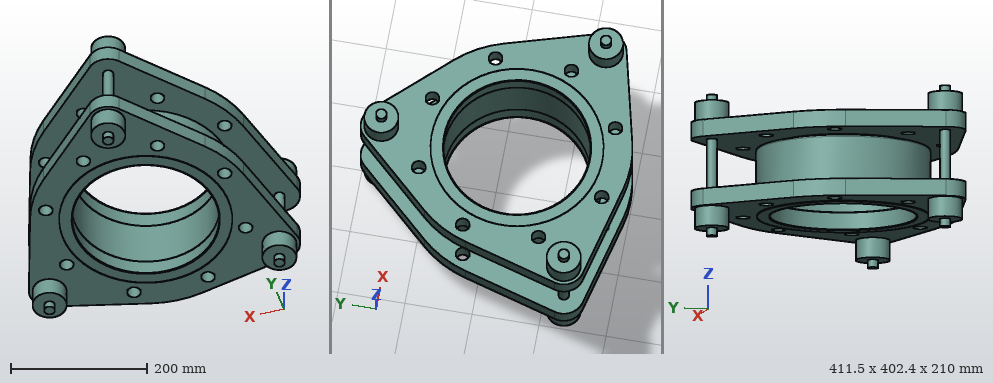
import cadquery as cq
import math

overall_width = 411.5
overall_height = 210.0

rod_count = 3
rod_circle_radius = 202.5
first_rod_angle = 90
rod_spacing_angle = 360 / rod_count
rod_diameter = 15.5
nut_diameter = 50.2
nut_height = 29.5

flange_thickness = 25.0
flange_gap = 77.8
flange_side_radius = 169.5
rod_half_spacing_x = rod_circle_radius * math.sin(math.radians(rod_spacing_angle / 2))
flange_tip_radius = overall_width / 2 - rod_half_spacing_x
raised_face_radius = 127.0
raised_face_height = 1.2

bolt_hole_count = 8
bolt_circle_radius = 147.8
bolt_hole_diameter = 20.0
first_bolt_hole_angle = 180 / bolt_hole_count

body_radius = 128.5
body_height = 68.7
body_edge_fillet = 2.5
neck_base_radius = 112.8
neck_end_radius = 109.0
neck_collar_length = 1.0

bore_radius = 108.0
bore_recess_radius = 109.0

flange_inner_z = flange_gap / 2
flange_outer_z = flange_inner_z + flange_thickness
face_z = flange_outer_z + raised_face_height


def polar(radius, angle, center=(0, 0)):
    """Point at a radius and an angle in degrees around a center."""
    turn = math.radians(angle)
    return (center[0] + radius * math.cos(turn), center[1] + radius * math.sin(turn))


def flange_outline():
    """Three-lobed outline: tip arcs around the rods joined by tangent lines to wide side arcs."""
    radius_drop = flange_side_radius - flange_tip_radius
    tangent_angle = math.degrees(math.acos(radius_drop / rod_circle_radius))
    start_center = polar(rod_circle_radius, first_rod_angle)
    start_point = polar(flange_tip_radius, first_rod_angle - tangent_angle, start_center)
    outline = cq.Workplane("XY").moveTo(*start_point)
    for index in range(rod_count):
        tip = first_rod_angle + index * rod_spacing_angle
        center = polar(rod_circle_radius, tip)
        outline = outline.threePointArc(
            polar(flange_tip_radius, tip, center),
            polar(flange_tip_radius, tip + tangent_angle, center),
        )
        outline = outline.lineTo(*polar(flange_side_radius, tip + tangent_angle))
        outline = outline.threePointArc(
            polar(flange_side_radius, tip + rod_spacing_angle / 2),
            polar(flange_side_radius, tip + rod_spacing_angle - tangent_angle),
        )
        if index < rod_count - 1:
            next_center = polar(rod_circle_radius, tip + rod_spacing_angle)
            next_start = polar(flange_tip_radius, tip + rod_spacing_angle - tangent_angle, next_center)
            outline = outline.lineTo(*next_start)
    return outline.close()


def upper_flange():
    """Flange plate with its bolt holes and the raised face on its outer side."""
    plate = flange_outline().extrude(flange_thickness)
    holes = (
        cq.Workplane("XY")
        .polarArray(bolt_circle_radius, first_bolt_hole_angle, 360, bolt_hole_count)
        .circle(bolt_hole_diameter / 2)
        .extrude(flange_thickness)
    )
    face_height = flange_thickness + raised_face_height
    raised_face = cq.Workplane("XY").circle(raised_face_radius).extrude(face_height)
    return plate.cut(holes).union(raised_face).translate((0, 0, flange_inner_z))


def rod_cylinders(diameter, bottom_z, top_z):
    """One cylinder at each rod position."""
    return (
        cq.Workplane("XY")
        .workplane(offset=bottom_z)
        .polarArray(rod_circle_radius, first_rod_angle, 360, rod_count)
        .circle(diameter / 2)
        .extrude(top_z - bottom_z)
    )


def rubber_body():
    """Wide rounded ring with a tapered neck and a short collar up to the flange at each end."""
    taper_end_z = flange_inner_z - neck_collar_length
    ring = (
        cq.Workplane("XY")
        .workplane(offset=-body_height / 2)
        .circle(body_radius)
        .extrude(body_height)
        .edges()
        .fillet(body_edge_fillet)
    )
    necks = (
        cq.Workplane("XZ")
        .moveTo(0, -flange_inner_z)
        .lineTo(neck_end_radius, -flange_inner_z)
        .lineTo(neck_end_radius, -taper_end_z)
        .lineTo(neck_base_radius, -body_height / 2)
        .lineTo(neck_base_radius, body_height / 2)
        .lineTo(neck_end_radius, taper_end_z)
        .lineTo(neck_end_radius, flange_inner_z)
        .lineTo(0, flange_inner_z)
        .close()
        .revolve(360, (0, 0), (0, 1))
    )
    return ring.union(necks)


def bore():
    """Through bore, widened by a shallow step as deep as the raised face at each end."""
    return (
        cq.Workplane("XZ")
        .moveTo(0, -face_z)
        .lineTo(bore_recess_radius, -face_z)
        .lineTo(bore_recess_radius, -flange_outer_z)
        .lineTo(bore_radius, -flange_outer_z)
        .lineTo(bore_radius, flange_outer_z)
        .lineTo(bore_recess_radius, flange_outer_z)
        .lineTo(bore_recess_radius, face_z)
        .lineTo(0, face_z)
        .close()
        .revolve(360, (0, 0), (0, 1))
    )


upper_end = upper_flange().union(
    rod_cylinders(nut_diameter, flange_outer_z, flange_outer_z + nut_height)
)
rods = rod_cylinders(rod_diameter, -overall_height / 2, overall_height / 2)

result = rubber_body().union(upper_end).union(upper_end.mirror("XY")).union(rods).cut(bore())